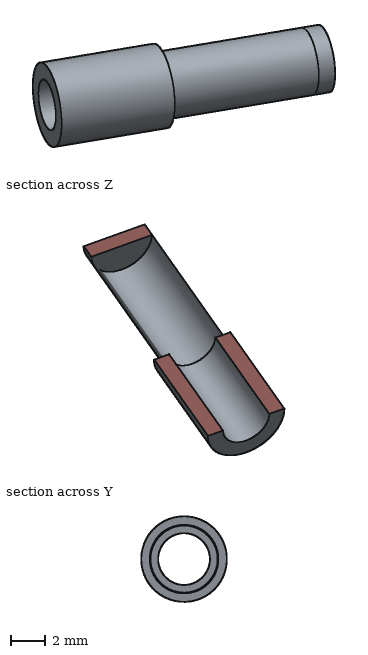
import cadquery as cq

total_length = 17.1
collar_length = 7.0
collar_diameter = 5.0
shank_diameter = 4.0

collar_bore_diameter = 3.0
shank_wall = 0.05
end_wall = 1.0
shank_bore_diameter = shank_diameter - 2 * shank_wall
bore_end = total_length - end_wall


def cylinder_along_y(diameter, start, end):
    """Cylinder on the Y axis from y = start to y = end."""
    base = cq.Workplane("XZ", origin=(0, start, 0))
    return base.circle(diameter / 2).extrude(start - end)


def make_body():
    """Collar and shank as one solid stepped bar."""
    collar = cylinder_along_y(collar_diameter, 0, collar_length)
    shank = cylinder_along_y(shank_diameter, collar_length, total_length)
    return collar.union(shank)


def make_bore():
    """Stepped bore that opens on the collar face and stops at the end wall."""
    collar_bore = cylinder_along_y(collar_bore_diameter, 0, collar_length)
    shank_bore = cylinder_along_y(shank_bore_diameter, collar_length, bore_end)
    return collar_bore.union(shank_bore)


result = make_body().cut(make_bore())